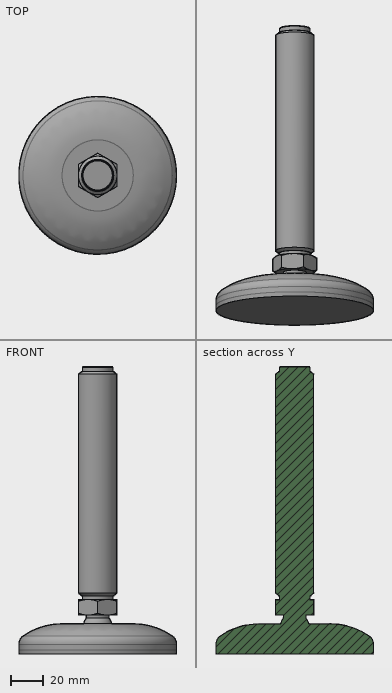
import cadquery as cq
import math

total_height = 179.2
pad_height = 2.7
rim_height = 6.1
foot_height = 19.0
neck_start = 22.4
nut_bottom = 24.4
nut_top = 34.0
stud_bottom = 36.4

foot_diameter = 98.5
pad_base_diameter = 98.2
dome_flat_diameter = 44.5
shoulder_radius = 6.5

ball_diameter = 18.3
neck_diameter = 14.3

nut_sides = 6
nut_width = 24.0
nut_chamfer_angle = 30.0

stud_diameter = 24.0
pilot_diameter = 19.2
chamfer_end_diameter = 20.0
stud_chamfer_height = 1.6
pilot_length = 3.0
tip_diameter = 18.3


def revolve_outline(outline):
    """Close a radius-height outline and revolve it around the vertical axis."""
    return outline.close().revolve(360, (0, 0, 0), (0, 1, 0))


def make_foot():
    """Round foot: tapered pad, straight rim, rounded shoulder and shallow dome with a flat centre."""
    rim_radius = foot_diameter / 2
    flat_radius = dome_flat_diameter / 2
    shoulder_center = rim_radius - shoulder_radius
    center_offset = shoulder_center - flat_radius
    rise = foot_height - rim_height
    dome_radius = (center_offset**2 + rise**2 - shoulder_radius**2) / (2 * (rise - shoulder_radius))
    touch_angle = math.asin(center_offset / (dome_radius - shoulder_radius))
    touch_radius = shoulder_center + shoulder_radius * math.sin(touch_angle)
    touch_height = rim_height + shoulder_radius * math.cos(touch_angle)
    return revolve_outline(
        cq.Workplane("XZ")
        .lineTo(pad_base_diameter / 2, 0)
        .lineTo(rim_radius, pad_height)
        .lineTo(rim_radius, rim_height)
        .tangentArcPoint((touch_radius, touch_height), relative=False)
        .tangentArcPoint((flat_radius, foot_height), relative=False)
        .lineTo(0, foot_height)
    )


def make_ball_neck():
    """Ball seated in the foot, with a slim cylindrical neck reaching up into the nut."""
    ball_radius = ball_diameter / 2
    neck_radius = neck_diameter / 2
    ball_center = neck_start - math.sqrt(ball_radius**2 - neck_radius**2)
    ball = cq.Workplane("XY").sphere(ball_radius).translate((0, 0, ball_center))
    neck = (
        cq.Workplane("XY")
        .workplane(offset=ball_center)
        .circle(neck_radius)
        .extrude(nut_top - ball_center)
    )
    return ball.union(neck)


def make_nut():
    """Hexagon with flats facing +X and -X and conical chamfers on both ends."""
    flat_radius = nut_width / 2
    half_side_angle = 180 / nut_sides
    corner_radius = flat_radius / math.cos(math.radians(half_side_angle))
    chamfer_drop = (corner_radius - flat_radius) * math.tan(math.radians(nut_chamfer_angle))
    hexagon = (
        cq.Workplane("XY")
        .workplane(offset=nut_bottom)
        .polygon(nut_sides, 2 * corner_radius)
        .extrude(nut_top - nut_bottom)
        .rotate((0, 0, 0), (0, 0, 1), half_side_angle)
    )
    chamfer_envelope = revolve_outline(
        cq.Workplane("XZ")
        .moveTo(0, nut_bottom)
        .lineTo(flat_radius, nut_bottom)
        .lineTo(corner_radius, nut_bottom + chamfer_drop)
        .lineTo(corner_radius, nut_top - chamfer_drop)
        .lineTo(flat_radius, nut_top)
        .lineTo(0, nut_top)
    )
    return hexagon.intersect(chamfer_envelope)


def make_stud():
    """Long stud with a relief below, and a narrow ledge between each cone chamfer and its pilot."""
    stud_radius = stud_diameter / 2
    pilot_radius = pilot_diameter / 2
    chamfer_end_radius = chamfer_end_diameter / 2
    tip_radius = tip_diameter / 2
    tip_chamfer = pilot_radius - tip_radius
    pilot_start = total_height - pilot_length
    return revolve_outline(
        cq.Workplane("XZ")
        .moveTo(0, nut_top)
        .lineTo(pilot_radius, nut_top)
        .lineTo(pilot_radius, stud_bottom)
        .lineTo(chamfer_end_radius, stud_bottom)
        .lineTo(stud_radius, stud_bottom + stud_chamfer_height)
        .lineTo(stud_radius, pilot_start - stud_chamfer_height)
        .lineTo(chamfer_end_radius, pilot_start)
        .lineTo(pilot_radius, pilot_start)
        .lineTo(pilot_radius, total_height - tip_chamfer)
        .lineTo(tip_radius, total_height)
        .lineTo(0, total_height)
    )


result = make_foot().union(make_ball_neck()).union(make_nut()).union(make_stud())